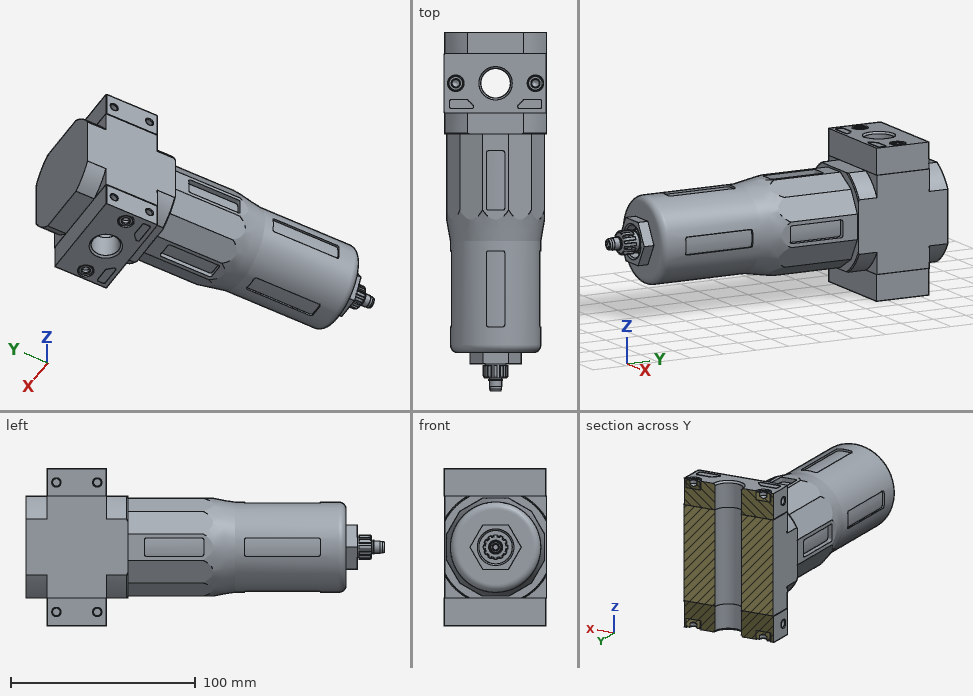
import cadquery as cq
import math


overall_length = 194.2
housing_size = 55.2
housing_half = housing_size / 2
flange_corner_radius = 31.5
flange_chamfer = 0.5
port_diameter = 16.0
port_rim_diameter = 18.0

plate_length_y = 32.2
plate_outer_z = 42.5
plate_thickness = plate_outer_z - housing_half
plate_shift_x = -0.4
plate_edge_chamfer = 0.4
side_hole_spacing = 22.1
side_hole_diameter = 4.0
side_hole_rim_diameter = 5.0
side_hole_depth = 5.8
label_length = 13.0
label_width = 4.9
label_slope = 3.3
label_corner_radius = 1.0
label_depth = 0.2
label_spacing_x = 36.9
label_y = -11.3

screw_spacing_x = 43.1
counterbore_diameter = 9.0
counterbore_depth = 5.0
head_diameter = 8.5
head_height = 4.7
head_rim_diameter = 7.4
socket_diameter = 4.0
socket_rim_diameter = 5.0
socket_rim_depth = (socket_rim_diameter - socket_diameter) / 2
socket_depth = 2.3
socket_cone_depth = 1.2

bowl_top_y = -housing_half
grip_sides = 12
grip_across_flats = 53.0
grip_corner_radius = grip_across_flats / 2 / math.cos(math.pi / grip_sides)
taper_top_y = -68.5
cylinder_top_y = -85.6
cylinder_radius = 24.5
bowl_bottom_y = -145.8
bowl_bottom_fillet = 4.0

window_width = 10.0
window_corner_radius = 1.2
window_count = 4
grip_window_top_y = -36.5
grip_window_length = 32.2
grip_window_floor_radius = 24.0
cylinder_window_top_y = -90.7
cylinder_window_length = 41.2
cylinder_window_floor_radius = 23.3

nut_sides = 6
nut_height = 6.0
nut_bottom_y = bowl_bottom_y - nut_height
nut_across_flats = 24.0
nut_corner_diameter = nut_across_flats / math.cos(math.pi / nut_sides)
nut_bore_diameter = 18.0
nut_bore_rim_diameter = 19.8

rib_count = 12
rib_tip_diameter = 13.4
rib_width = 1.7
rib_top_y = -152.8
rib_bottom_rounding = 1.5
collar_diameter = 11.3
collar_bottom_y = -159.6
shoulder_diameter = 12.6
shoulder_bottom_y = -150.3
nozzle_flange_diameter = 7.5
nozzle_flange_top_y = -160.5
nozzle_flange_bottom_y = -160.8
nozzle_barrel_diameter = 6.8
nozzle_barrel_bottom_y = -164.1
nozzle_tip_diameter = 6.5
nozzle_tip_taper_y = -165.5
nozzle_end_diameter = 5.6
nozzle_end_y = housing_half - overall_length
nozzle_bore_diameter = 3.0
nozzle_bore_rim_diameter = 4.0
nozzle_bore_depth = 5.8


def section_at(y):
    """Workplane across the filter axis at y, extruding toward the drain end."""
    return cq.Workplane("XZ", origin=(0, y, 0))


def turned(profile):
    """Solid of revolution about the Y axis from (radius, y) points."""
    return cq.Workplane("XY").polyline(profile).close().revolve(360, (0, 0, 0), (0, 1, 0))


def countersink(rim_diameter, hole_diameter):
    """45-degree cone that widens a hole to its rim, with the rim at z = 0 and the cone below."""
    depth = (rim_diameter - hole_diameter) / 2
    rim = cq.Workplane("XY").circle(rim_diameter / 2)
    return rim.workplane(offset=-depth).circle(hole_diameter / 2).loft()


def make_housing():
    block = cq.Workplane("XY").box(housing_size, housing_size, housing_size)
    flanges = section_at(housing_half).circle(flange_corner_radius).extrude(housing_size)
    flanges = flanges.faces("<Y").chamfer(flange_chamfer)
    middle = cq.Workplane("XY").box(2 * housing_size, plate_length_y, 2 * housing_size)
    port = cq.Workplane("XY").circle(port_diameter / 2).extrude(housing_size, both=True)
    return block.intersect(flanges.union(middle)).cut(port)


def label_recess(direction):
    """Five-sided recess for a label; direction +1 or -1 is the X side with its sloping corner."""
    half_length = direction * label_length / 2
    half_width = label_width / 2
    outline = [
        (-half_length, -half_width),
        (half_length, -half_width),
        (half_length, half_width - label_slope),
        (half_length - direction * label_slope, half_width),
        (-half_length, half_width),
    ]
    centre = (-direction * label_spacing_x / 2, label_y, plate_outer_z - label_depth)
    recess = cq.Workplane("XY", origin=centre).polyline(outline).close().extrude(label_depth)
    return recess.edges("|Z").fillet(label_corner_radius)


def make_upper_plate():
    plate = cq.Workplane("XY", origin=(plate_shift_x, 0, housing_half)).box(
        housing_size, plate_length_y, plate_thickness, centered=(True, True, False)
    )
    plate = plate.edges("|Z and <X").chamfer(plate_edge_chamfer)

    port = cq.Workplane("XY").circle(port_diameter / 2).extrude(plate_outer_z)
    port_rim = countersink(port_rim_diameter, port_diameter).translate((0, 0, plate_outer_z))
    plate = plate.cut(port).cut(port_rim)

    for side in (-1, 1):
        counterbore = cq.Workplane("XY").circle(counterbore_diameter / 2).extrude(-counterbore_depth)
        plate = plate.cut(counterbore.translate((side * screw_spacing_x / 2, 0, plate_outer_z)))
        plate = plate.cut(label_recess(side))

        side_hole = cq.Workplane("XY").circle(side_hole_diameter / 2).extrude(-side_hole_depth)
        side_hole = side_hole.union(countersink(side_hole_rim_diameter, side_hole_diameter))
        side_hole = side_hole.rotate((0, 0, 0), (0, 1, 0), -90)
        side_hole_place = (
            plate_shift_x - housing_half,
            side * side_hole_spacing / 2,
            (housing_half + plate_outer_z) / 2,
        )
        plate = plate.cut(side_hole.translate(side_hole_place))
    return plate


def make_upper_screw(side):
    """Screw head standing on the floor of its counterbore."""
    head = cq.Workplane("XY").circle(head_diameter / 2).extrude(head_height)
    head = head.faces(">Z").chamfer((head_diameter - head_rim_diameter) / 2)
    socket = (
        cq.Workplane("XZ")
        .polyline(
            [
                (0, head_height),
                (socket_rim_diameter / 2, head_height),
                (socket_diameter / 2, head_height - socket_rim_depth),
                (socket_diameter / 2, head_height - socket_depth),
                (0, head_height - socket_depth - socket_cone_depth),
            ]
        )
        .close()
        .revolve(360, (0, 0, 0), (0, 1, 0))
    )
    return head.cut(socket).translate((side * screw_spacing_x / 2, 0, plate_outer_z - counterbore_depth))


def window_recess(top_y, length, floor_radius):
    """Cutter for one recess on the +Z side, with a floor rounded about the Y axis."""
    recess = (
        cq.Workplane("XY", origin=(0, top_y - length / 2, 0))
        .rect(window_width, length)
        .extrude(housing_half)
        .edges("|Z")
        .fillet(window_corner_radius)
    )
    floor = section_at(top_y).circle(floor_radius).extrude(length)
    return recess.cut(floor)


def make_bowl():
    grip = section_at(bowl_top_y).polygon(grip_sides, 2 * grip_corner_radius)
    grip = grip.extrude(bowl_top_y - bowl_bottom_y)
    grip = grip.rotate((0, 0, 0), (0, 1, 0), 180 / grip_sides)
    envelope = turned(
        [
            (0, bowl_top_y),
            (grip_corner_radius, bowl_top_y),
            (grip_corner_radius, taper_top_y),
            (cylinder_radius, cylinder_top_y),
            (cylinder_radius, bowl_bottom_y),
            (0, bowl_bottom_y),
        ]
    )
    bowl = grip.intersect(envelope)
    bowl = bowl.faces("<Y").edges().fillet(bowl_bottom_fillet)

    windows = (
        (grip_window_top_y, grip_window_length, grip_window_floor_radius),
        (cylinder_window_top_y, cylinder_window_length, cylinder_window_floor_radius),
    )
    for window in windows:
        recess = window_recess(*window)
        for index in range(window_count):
            bowl = bowl.cut(recess.rotate((0, 0, 0), (0, 1, 0), index * 360 / window_count))
    return bowl


def make_nut():
    nut = section_at(bowl_bottom_y).polygon(nut_sides, nut_corner_diameter).extrude(nut_height)
    nut = nut.cut(section_at(bowl_bottom_y).circle(nut_bore_diameter / 2).extrude(nut_height))
    rim = countersink(nut_bore_rim_diameter, nut_bore_diameter).rotate((0, 0, 0), (1, 0, 0), 90)
    return nut.cut(rim.translate((0, nut_bottom_y, 0)))


def make_knob():
    rib_radius = rib_tip_diameter / 2
    collar = section_at(bowl_bottom_y).circle(collar_diameter / 2).extrude(bowl_bottom_y - collar_bottom_y)
    shoulder = section_at(bowl_bottom_y).circle(shoulder_diameter / 2)
    collar = collar.union(shoulder.extrude(bowl_bottom_y - shoulder_bottom_y))
    rib_length = rib_top_y - collar_bottom_y
    rib = section_at(rib_top_y).center(0, rib_radius / 2).rect(rib_width, rib_radius).extrude(rib_length)
    for index in range(rib_count):
        collar = collar.union(rib.rotate((0, 0, 0), (0, 1, 0), index * 360 / rib_count))

    envelope = section_at(bowl_bottom_y).circle(rib_radius).extrude(bowl_bottom_y - collar_bottom_y)
    collar = collar.intersect(envelope.faces("<Y").edges().fillet(rib_bottom_rounding))

    nozzle = turned(
        [
            (0, collar_bottom_y),
            (nozzle_barrel_diameter / 2, collar_bottom_y),
            (nozzle_barrel_diameter / 2, nozzle_flange_top_y),
            (nozzle_flange_diameter / 2, nozzle_flange_top_y),
            (nozzle_flange_diameter / 2, nozzle_flange_bottom_y),
            (nozzle_barrel_diameter / 2, nozzle_flange_bottom_y),
            (nozzle_barrel_diameter / 2, nozzle_barrel_bottom_y),
            (nozzle_tip_diameter / 2, nozzle_barrel_bottom_y),
            (nozzle_tip_diameter / 2, nozzle_tip_taper_y),
            (nozzle_end_diameter / 2, nozzle_end_y),
            (0, nozzle_end_y),
        ]
    )
    bore = section_at(nozzle_end_y + nozzle_bore_depth).circle(nozzle_bore_diameter / 2)
    bore_rim = countersink(nozzle_bore_rim_diameter, nozzle_bore_diameter)
    bore_rim = bore_rim.rotate((0, 0, 0), (1, 0, 0), 90).translate((0, nozzle_end_y, 0))
    return collar.union(nozzle).cut(bore.extrude(nozzle_bore_depth)).cut(bore_rim)


housing = make_housing()
bowl = make_bowl()
nut = make_nut()
knob = make_knob()

upper_plate = make_upper_plate()
plates = [upper_plate.val(), upper_plate.mirror("XY").val()]
screws = []
for side in (-1, 1):
    upper_screw = make_upper_screw(side)
    screws += [upper_screw.val(), upper_screw.mirror("XY").val()]

result = cq.Compound.makeCompound(
    [housing.val(), *plates, *screws, bowl.val(), nut.val(), knob.val()]
)